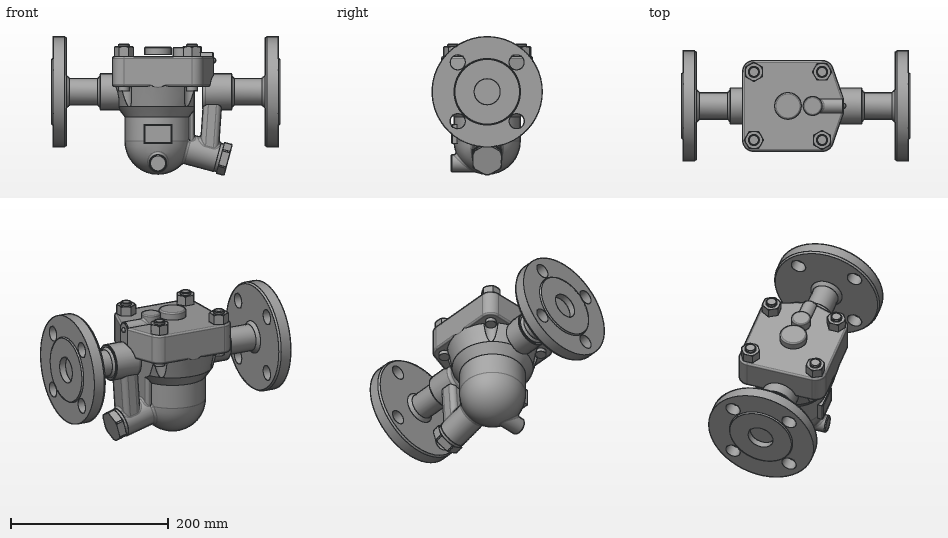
import cadquery as cq
import math


flange_diameter = 140.0
flange_thickness = 16.8
flange_bevel_length = 2.5
flange_bevel_depth = 1.7
raised_face_diameter = 84.5
raised_face_height = 2.0
raised_face_bevel = 1.2
bolt_hole_diameter = 19.0
bolt_circle_radius = 52.8
bore_diameter = 33.0
bore_depth = 8.7
neck_diameter = 41.8
neck_length = 4.4
pipe_diameter = 34.0
weld_diameter = 40.0
weld_length = 3.0
hub_diameter = 46.0
hub_bevel = 1.0
overall_length = 290.0
inlet_end = -135.0
outlet_end = inlet_end + overall_length
inlet_hub_end = -73.7
outlet_hub_end = 94.0
outlet_hub_start = 56.3
outlet_hub_rounding = 3.8

plate_bottom = 6.7
plate_top = 44.7
plate_edge_rounding = 2.3
stud_offset = 43.2
plate_corner_radius = 14.5
plate_half_width = stud_offset + plate_corner_radius
plate_tip = 70.5
plate_tip_half_width = 9.0

stud_diameter = 14.0
stud_bottom = 1.2
stud_top = 60.5
stud_bevel = 1.2
nut_width = 21.2
nut_top = 57.0
nut_bevel = 1.2
clearance_radius = 10.0

boss_diameter = 24.0
boss_x = 31.3
boss_top = 56.3
boss_rounding = 1.5
ridge_radius = 10.2
ridge_axis_z = 39.7
ridge_bevel = 1.2
ridge_root_rounding = 2.5
button_radius = 3.2
button_height = 3.0
button_rounding = 2.5

bowl_radius = 42.0
bowl_center_z = -62.5
shoulder_bottom = -32.0
shoulder_top = -18.8

neck_lower_radius = 51.3
neck_upper_radius = 58.5

rib_face_x = 46.0
rib_half_width = 15.5
rib_rounding = 4.5
rib_bottom = -68.2
rib_root_rounding = 2.3

pad_width = 35.7
pad_top = -41.8
pad_bottom = -65.8
pad_face = 45.2
pad_bevel = 1.2

drain_diameter = 22.0
drain_z = -90.8
drain_face = 46.0
drain_bevel = 1.5
drain_root_rounding = 3.0

branch_tilt = 15.0
branch_diameter = 38.0
branch_end = 78.0
branch_root_rounding = 3.8
washer_diameter = 36.5
washer_end = 82.0
cap_corner_diameter = 41.8
cap_turned_diameter = 40.5
cap_end = 92.2
cap_bevel = 1.0

column_tilt = 3.9
column_width = 23.5
column_depth = 33.0
column_root_rounding = 3.0
column_rounding = 6.7
column_top_x = 70.2

disc_diameter = 34.0
disc_bottom = 47.0
disc_top = 56.5
disc_rounding = 1.7


def revolve_about_x(points):
    return cq.Workplane("XY").polyline(points).close().revolve(360, (0, 0, 0), (1, 0, 0))


def joined_with_fillet(base, branch, radius):
    """Union of two solids with a fillet along their curved seam, the one farthest along +X if several."""
    joined = base.union(branch)
    return joined.edges("%BSPLINE").edges(">X").fillet(radius)


def pipe_end(end_x, hub_end_x, inner_x):
    """Flange, neck, pipe, weld and hub from the outer end end_x to inner_x."""
    inward = 1 if inner_x > end_x else -1
    front = end_x + inward * raised_face_height
    back = front + inward * flange_thickness
    face_radius = raised_face_diameter / 2
    rim_radius = flange_diameter / 2
    hub_radius = hub_diameter / 2
    points = [
        (end_x, 0),
        (end_x, face_radius - raised_face_bevel),
        (front, face_radius),
        (front, rim_radius),
        (back - inward * flange_bevel_length, rim_radius),
        (back, rim_radius - flange_bevel_depth),
        (back, neck_diameter / 2),
        (back + inward * neck_length, pipe_diameter / 2),
        (hub_end_x - inward * weld_length, pipe_diameter / 2),
        (hub_end_x, weld_diameter / 2),
        (hub_end_x, hub_radius - hub_bevel),
        (hub_end_x + inward * hub_bevel, hub_radius),
        (inner_x, hub_radius),
        (inner_x, 0),
    ]
    return revolve_about_x(points)


def flange_cuts(end_x, inward):
    """Blind bore and four through bolt holes of one flange."""
    face = cq.Workplane("YZ", origin=(end_x, 0, 0))
    bore = face.circle(bore_diameter / 2).extrude(inward * bore_depth)
    holes = (
        face.polarArray(bolt_circle_radius, 45, 360, 4)
        .circle(bolt_hole_diameter / 2)
        .extrude(inward * (raised_face_height + flange_thickness))
    )
    return bore.union(holes)


def cover_plate():
    """Square plate with round corners that tapers to a blunt tip over the outlet."""
    to_tip_x = plate_tip - stud_offset
    to_tip_y = plate_tip_half_width - stud_offset
    tangent_angle = math.atan2(to_tip_y, to_tip_x) + math.acos(
        plate_corner_radius / math.hypot(to_tip_x, to_tip_y)
    )
    middle_angle = (tangent_angle + math.pi / 2) / 2

    def outlet_corner(angle, side):
        x = stud_offset + plate_corner_radius * math.cos(angle)
        y = stud_offset + plate_corner_radius * math.sin(angle)
        return (x, side * y)

    diagonal = stud_offset + plate_corner_radius * math.sqrt(0.5)
    return (
        cq.Workplane("XY", origin=(0, 0, plate_bottom))
        .moveTo(-stud_offset, -plate_half_width)
        .lineTo(stud_offset, -plate_half_width)
        .threePointArc(outlet_corner(middle_angle, -1), outlet_corner(tangent_angle, -1))
        .lineTo(plate_tip, -plate_tip_half_width)
        .lineTo(plate_tip, plate_tip_half_width)
        .lineTo(*outlet_corner(tangent_angle, 1))
        .threePointArc(outlet_corner(middle_angle, 1), (stud_offset, plate_half_width))
        .lineTo(-stud_offset, plate_half_width)
        .threePointArc((-diagonal, diagonal), (-plate_half_width, stud_offset))
        .lineTo(-plate_half_width, -stud_offset)
        .threePointArc((-diagonal, -diagonal), (-stud_offset, -plate_half_width))
        .close()
        .extrude(plate_top - plate_bottom)
        .faces("<Z or >Z")
        .edges()
        .fillet(plate_edge_rounding)
    )


def bevelled_hexagon(corner_diameter, turned_diameter, height, bevel):
    """Hexagonal prism on the XY plane, corners on the X axis, turned down and bevelled on top."""
    prism = cq.Workplane("XY").polygon(6, corner_diameter).extrude(height)
    turned = cq.Workplane("XY").circle(turned_diameter / 2).extrude(height).faces(">Z").chamfer(bevel)
    return prism.intersect(turned)


def stud_and_nut(x, y):
    """Stud with its hexagon nut; neighbouring nuts are turned a quarter turn."""
    turn = 90 if x * y < 0 else 0
    stud = (
        cq.Workplane("XY", origin=(x, y, stud_bottom))
        .circle(stud_diameter / 2)
        .extrude(stud_top - stud_bottom)
        .faces(">Z")
        .chamfer(stud_bevel)
    )
    corner_diameter = nut_width / math.cos(math.pi / 6)
    nut = bevelled_hexagon(corner_diameter, corner_diameter, nut_top - plate_top, nut_bevel)
    nut = nut.rotate((0, 0, 0), (0, 0, 1), turn).translate((x, y, plate_top))
    return stud.union(nut)


def cover_boss():
    return (
        cq.Workplane("XY", origin=(boss_x, 0, plate_bottom))
        .circle(boss_diameter / 2)
        .extrude(boss_top - plate_bottom)
        .faces(">Z")
        .edges()
        .fillet(boss_rounding)
    )


def cover_boss_and_ridge():
    """Boss with a round backed ridge running to the plate tip and ending in a small domed button."""
    ridge = (
        cq.Workplane("YZ", origin=(boss_x, 0, ridge_axis_z))
        .circle(ridge_radius)
        .extrude(plate_tip - boss_x)
        .faces(">X")
        .edges()
        .chamfer(ridge_bevel)
    )
    above_plate = (
        cq.Workplane("XY", origin=(0, 0, plate_top - plate_edge_rounding))
        .rect(2 * plate_tip, 2 * ridge_radius)
        .extrude(2 * ridge_radius)
    )
    button = (
        cq.Workplane("YZ", origin=(plate_tip - button_height, 0, ridge_axis_z))
        .circle(button_radius)
        .extrude(2 * button_height)
        .faces(">X")
        .edges()
        .fillet(button_rounding)
    )
    ridge = joined_with_fillet(cover_boss(), ridge.intersect(above_plate), ridge_root_rounding)
    return ridge.union(button)


def bowl():
    """Hemispherical bowl with a short cylindrical wall."""
    diagonal = bowl_radius * math.sqrt(0.5)
    return (
        cq.Workplane("XZ")
        .moveTo(0, bowl_center_z - bowl_radius)
        .threePointArc((diagonal, bowl_center_z - diagonal), (bowl_radius, bowl_center_z))
        .lineTo(bowl_radius, shoulder_bottom)
        .lineTo(0, shoulder_bottom)
        .close()
        .revolve(360, (0, 0, 0), (0, 1, 0))
    )


def bowl_neck():
    """Conical shoulder and neck, flush with the plate sides, the rib face and the stud clearances."""
    neck_top = plate_bottom + plate_edge_rounding
    cones = (
        cq.Workplane("XZ")
        .moveTo(0, shoulder_bottom)
        .lineTo(bowl_radius, shoulder_bottom)
        .lineTo(neck_lower_radius, shoulder_top)
        .lineTo(neck_upper_radius, neck_top)
        .lineTo(0, neck_top)
        .close()
        .revolve(360, (0, 0, 0), (0, 1, 0))
    )
    envelope = (
        cq.Workplane("XY", origin=(0, 0, shoulder_bottom))
        .center((rib_face_x - plate_half_width) / 2, 0)
        .rect(plate_half_width + rib_face_x, 2 * plate_half_width)
        .extrude(neck_top - shoulder_bottom)
    )
    clearances = (
        cq.Workplane("XY", origin=(0, 0, shoulder_top))
        .rect(2 * stud_offset, 2 * stud_offset, forConstruction=True)
        .vertices()
        .circle(clearance_radius)
        .extrude(plate_bottom - shoulder_top)
    )
    return cones.intersect(envelope).cut(clearances)


def rib():
    return (
        cq.Workplane("XY", origin=(0, 0, rib_bottom))
        .center(rib_face_x / 2, 0)
        .rect(rib_face_x, 2 * rib_half_width)
        .extrude(plate_bottom - rib_bottom)
        .edges("|Z and >X")
        .fillet(rib_rounding)
    )


def name_plate_pad():
    return (
        cq.Workplane("XZ", origin=(0, 0, (pad_top + pad_bottom) / 2))
        .rect(pad_width, pad_top - pad_bottom)
        .extrude(pad_face)
        .faces("<Y")
        .chamfer(pad_bevel)
    )


def drain_nub():
    return (
        cq.Workplane("XZ", origin=(0, 0, drain_z))
        .circle(drain_diameter / 2)
        .extrude(drain_face)
        .faces("<Y")
        .chamfer(drain_bevel)
    )


def along_branch(solid):
    """Moves a solid built along +Z onto the strainer axis, which leaves the bowl centre."""
    tilted = solid.rotate((0, 0, 0), (0, 1, 0), 90 + branch_tilt)
    return tilted.translate((0, 0, bowl_center_z))


def branch_tube():
    return along_branch(cq.Workplane("XY").circle(branch_diameter / 2).extrude(branch_end))


def branch_cap():
    washer = (
        cq.Workplane("XY", origin=(0, 0, branch_end))
        .circle(washer_diameter / 2)
        .extrude(washer_end - branch_end)
    )
    head = bevelled_hexagon(cap_corner_diameter, cap_turned_diameter, cap_end - washer_end, cap_bevel)
    return along_branch(washer.union(head.translate((0, 0, washer_end))))


def column():
    """Rounded square column from the outlet hub down into the branch."""
    branch_axis_z = bowl_center_z - column_top_x * math.tan(math.radians(branch_tilt))
    return (
        cq.Workplane("XY")
        .rect(column_width, column_depth)
        .extrude(branch_axis_z)
        .edges("|Z")
        .fillet(column_rounding)
        .rotate((0, 0, 0), (0, 1, 0), column_tilt)
        .translate((column_top_x, 0, 0))
    )


def valve_housing():
    """Bowl, pipe ends, cover plate and all fittings as one solid."""
    inlet = pipe_end(inlet_end, inlet_hub_end, 0)
    outlet = pipe_end(outlet_end, outlet_hub_end, outlet_hub_start)
    outlet = outlet.faces("<X").edges().fillet(outlet_hub_rounding)
    housing = joined_with_fillet(bowl(), drain_nub(), drain_root_rounding)
    housing = joined_with_fillet(housing, branch_tube(), branch_root_rounding)
    housing = housing.union(bowl_neck())
    housing = housing.union(joined_with_fillet(branch_tube(), rib(), rib_root_rounding))
    housing = housing.union(joined_with_fillet(branch_tube(), column(), column_root_rounding))
    for part in (name_plate_pad(), branch_cap(), inlet, outlet, cover_plate()):
        housing = housing.union(part)
    housing = housing.union(cover_boss_and_ridge())
    for x in (-stud_offset, stud_offset):
        for y in (-stud_offset, stud_offset):
            housing = housing.union(stud_and_nut(x, y))
    return housing.cut(flange_cuts(inlet_end, 1)).cut(flange_cuts(outlet_end, -1))


def cover_disc():
    return (
        cq.Workplane("XY", origin=(0, 0, disc_bottom))
        .circle(disc_diameter / 2)
        .extrude(disc_top - disc_bottom)
        .faces(">Z")
        .edges()
        .fillet(disc_rounding)
    )


housing = valve_housing()
disc = cover_disc()
result = cq.Compound.makeCompound([housing.val(), disc.val()])